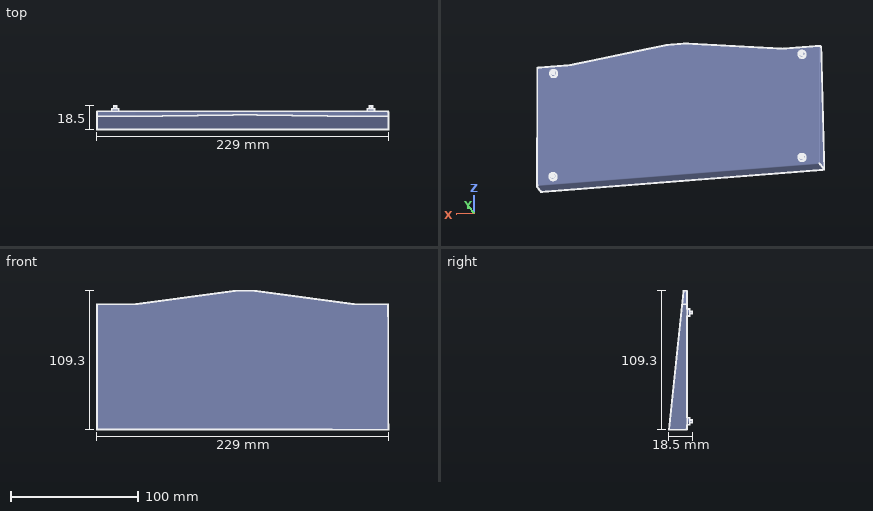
import cadquery as cq

length = 229.0
height = 109.3
shoulder_height = 98.7
peak_x = 1.8
crest_half_width = 7.5
crest_base_half_width = 86.0
bottom_rise = 0.2
right_edge_lean = 0.2

bottom_thickness = 14.5
crest_thickness = 3.0
back_edge_radius = 1.0

flange_diameter = 5.7
flange_length = 2.0
pin_length = 2.0
lower_pin_diameter = 2.3
upper_pin_diameter = 2.0
lower_stud_z = 6.6
upper_stud_z = 92.0
left_stud_x = -100.0
upper_right_stud_x = 100.5
lower_right_stud_x = 101.0
studs = [
    (left_stud_x, lower_stud_z, lower_pin_diameter),
    (left_stud_x, upper_stud_z, upper_pin_diameter),
    (lower_right_stud_x, lower_stud_z, lower_pin_diameter),
    (upper_right_stud_x, upper_stud_z, upper_pin_diameter),
]


def outline_slab():
    """Slab of full thickness with the raised outline and rounded back edges."""
    end = length / 2
    outline = [
        (-end, bottom_rise),
        (end, 0),
        (end - right_edge_lean, shoulder_height),
        (peak_x + crest_base_half_width, shoulder_height),
        (peak_x + crest_half_width, height),
        (peak_x - crest_half_width, height),
        (peak_x - crest_base_half_width, shoulder_height),
        (-end, shoulder_height),
    ]
    slab = cq.Workplane("XZ").polyline(outline).close().extrude(bottom_thickness)
    return slab.faces(">Y").edges().fillet(back_edge_radius)


def taper_wedge():
    """Wedge that thins the panel from its bottom to its crest."""
    profile = [
        (0, 0),
        (-bottom_thickness, 0),
        (-crest_thickness, height),
        (0, height),
    ]
    return cq.Workplane("YZ").polyline(profile).close().extrude(length / 2, both=True)


def stud(x, z, pin_diameter):
    """Flange and pin standing out of the back face at (x, z)."""
    base = cq.Workplane("XZ", origin=(x, 0, z))
    flange = base.circle(flange_diameter / 2).extrude(-flange_length)
    pin = base.circle(pin_diameter / 2).extrude(-(flange_length + pin_length))
    return flange.union(pin)


result = outline_slab().intersect(taper_wedge())
for stud_x, stud_z, stud_pin_diameter in studs:
    result = result.union(stud(stud_x, stud_z, stud_pin_diameter))